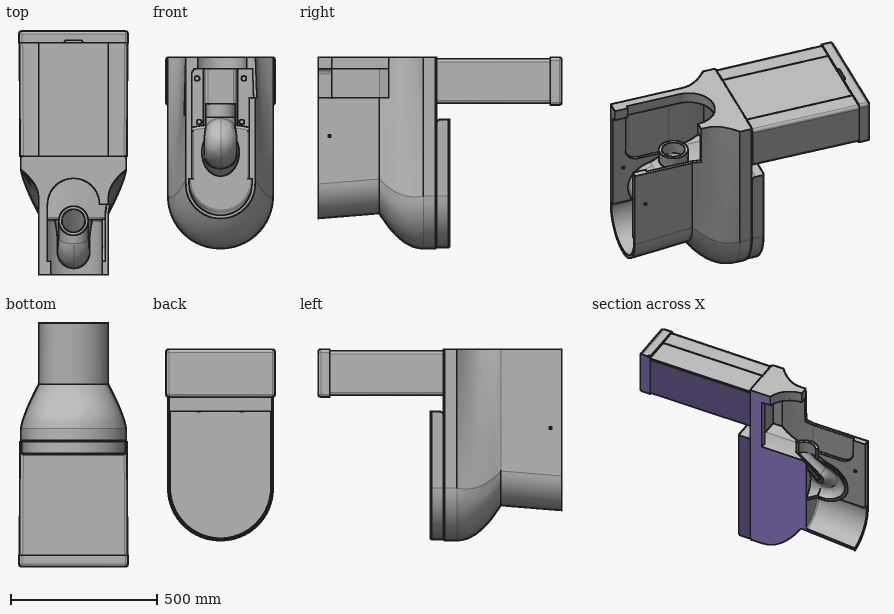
import cadquery as cq
import math


DEPTH_FRONT = 406.0
HOUSING_HEIGHT = 655.2
WALL = 11.0

REAR_HALF_WIDTH = 180.5
TROUGH_HALF_WIDTH = 119.0
SHOULDER_Y = -46.0
TOP_NECK_Y = -143.0
TROUGH_Y = -197.0
TROUGH_BACK_BOTTOM = -535.0
TROUGH_FRONT_BOTTOM = -552.0
SIDE_EXPONENT = 1.3
TOP_EXPONENT = 2.0
BOTTOM_EXPONENT = 2.0
NARROWING_STEPS = 6
BACK_EDGE_CHAMFER = 5.0

RIM_THICKNESS = 39.0
RIM_RADIUS = 89.0
RIM_CENTRE_Y = -165.0
LIP_BACK_Y = -359.0
LIP_TOP_EDGE_X = -77.0
LIP_HALF_GAP = 98.0
LIP_CORNER_RADIUS = 18.0
LIP_BOTTOM = -416.0
SIDE_CUT_BOTTOM = -139.0
INNER_WALL_Y = -218.0
INNER_CORNER_RADIUS = 4.5
LEDGE_BOTTOM = -244.0
LEDGE_CROWN = -230.0
LEDGE_EDGE_DROP = 10.0
LEDGE_EDGE_RADIUS = 9.0
PICK_MARGIN = 1.0
CHAMBER_CORNER_RADIUS = 48.0

PIN_HOLE_DIAMETER = 9.0
PIN_HOLE_Y = -367.0
PIN_HOLE_Z = -270.0
BOLT_HOLE_DIAMETER = 17.0
BOLT_HOLES = [(80.0, -73.0), (73.0, -222.0)]

DUCT_BASE_HALF_WIDTH = 59.0
DUCT_FACE_HALF_WIDTH = 52.0
DUCT_FACE_Y = -45.0
DUCT_EDGE_RADIUS = 11.0

PIPE_RADIUS = 50.0
PIPE_WALL = 10.5
PIPE_Y = -221.0
PIPE_TOP = -160.0
PIPE_BEND_TOP = -205.0
BEND_PIVOT_Y = -262.0
BEND_PIVOT_Z = -287.0
BEND_INNER_RADIUS = 4.0
BEND_SECTIONS = [
    (51.0, 41.0, -65),
    (54.0, 50.0, -30),
    (56.0, 59.0, 0),
    (56.0, 52.0, 45),
    (57.0, 43.0, 90),
]
FLARE_Z = -326.0
FLARE_HALF_WIDTH = 64.0
FLARE_HALF_HEIGHT = 81.0

BOX_LENGTH = 388.0
BOX_FRONT_HALF_WIDTH = 183.0
BOX_BACK_HALF_WIDTH = 185.5
BOX_TOP = -5.0
BOX_BOTTOM = -158.5
BOX_EDGE_RADIUS = 11.0
LID_HALF_WIDTH = 118.0
LID_THICKNESS = 5.0
LID_SINK = 1.5
LID_TOP = BOX_TOP - LID_SINK
CAP_BACK = 428.0
CAP_HALF_WIDTH = 186.5
CAP_HEIGHT = 164.0
CAP_EDGE_RADIUS = 10.0
FINGER_NOTCH_HALF_WIDTH = 31.0
FINGER_NOTCH_LENGTH = 8.0
FINGER_NOTCH_DEPTH = 4.0

COVER_THICKNESS = 45.0
COVER_TOP = -213.0
COVER_INSET = 3.5
COVER_TOP_RADIUS = 12.0
COVER_BACK_CHAMFER = 5.0


def block(x_min, x_max, y_min, y_max, z_min, z_max):
    size = (x_max - x_min, y_max - y_min, z_max - z_min)
    return cq.Workplane("XY").box(*size, centered=False).translate((x_min, y_min, z_min))


def loft(wires, ruled=False):
    return cq.Workplane(cq.Solid.makeLoft(wires, ruled))


def u_wire(y, top_half_width, low_half_width, bottom, inset=0.0):
    """U-shaped section at a given Y, flat at Z = 0 and round underneath."""
    top_x = top_half_width - inset
    low_x = low_half_width - inset
    arc_z = bottom + low_half_width
    start = cq.Vector(-top_x, y, 0)
    arc_start = cq.Vector(-low_x, y, arc_z)
    arc_end = cq.Vector(low_x, y, arc_z)
    end = cq.Vector(top_x, y, 0)
    return cq.Wire.assembleEdges([
        cq.Edge.makeLine(start, arc_start),
        cq.Edge.makeThreePointArc(arc_start, cq.Vector(0, y, bottom + inset), arc_end),
        cq.Edge.makeLine(arc_end, end),
        cq.Edge.makeLine(end, start),
    ])


def rear_wire(y, inset=0.0):
    return u_wire(y, REAR_HALF_WIDTH, REAR_HALF_WIDTH, -HOUSING_HEIGHT, inset)


def trough_wire(y, inset=0.0):
    run = (y - TROUGH_Y) / (-DEPTH_FRONT - TROUGH_Y)
    bottom = TROUGH_BACK_BOTTOM + run * (TROUGH_FRONT_BOTTOM - TROUGH_BACK_BOTTOM)
    return u_wire(y, TROUGH_HALF_WIDTH, TROUGH_HALF_WIDTH, bottom, inset)


def narrowing_wire(y, inset=0.0):
    """Section between shoulder and trough: concave along the top, bulging lower down."""
    spread = REAR_HALF_WIDTH - TROUGH_HALF_WIDTH
    top_run = min(1.0, (y - SHOULDER_Y) / (TOP_NECK_Y - SHOULDER_Y))
    low_run = (y - SHOULDER_Y) / (TROUGH_Y - SHOULDER_Y)
    top_half_width = TROUGH_HALF_WIDTH + spread * (1 - top_run) ** TOP_EXPONENT
    low_half_width = REAR_HALF_WIDTH - spread * low_run ** SIDE_EXPONENT
    rise = TROUGH_BACK_BOTTOM + HOUSING_HEIGHT
    bottom = -HOUSING_HEIGHT + rise * low_run ** BOTTOM_EXPONENT
    return u_wire(y, top_half_width, low_half_width, bottom, inset)


def housing_form(back_y, front_y, inset=0.0):
    """Outer form of the housing, or its inside when an inset is given."""
    step = (TROUGH_Y - SHOULDER_Y) / NARROWING_STEPS
    stations = [SHOULDER_Y + i * step for i in range(NARROWING_STEPS + 1)]
    rear = loft([rear_wire(back_y, inset), rear_wire(SHOULDER_Y, inset)], True)
    narrowing = loft([narrowing_wire(y, inset) for y in stations])
    trough = loft([trough_wire(TROUGH_Y, inset), trough_wire(front_y, inset)], True)
    return rear.union(narrowing).union(trough)


def chamber():
    """Upper chamber: inside of the form, between the rim and the crowned ledge."""
    side_profile = (
        cq.Workplane("YZ").workplane(offset=-REAR_HALF_WIDTH)
        .moveTo(-WALL, -RIM_THICKNESS)
        .lineTo(LIP_BACK_Y, -RIM_THICKNESS)
        .lineTo(LIP_BACK_Y, LEDGE_BOTTOM + CHAMBER_CORNER_RADIUS)
        .radiusArc((LIP_BACK_Y + CHAMBER_CORNER_RADIUS, LEDGE_BOTTOM), -CHAMBER_CORNER_RADIUS)
        .lineTo(-WALL, LEDGE_BOTTOM)
        .close()
        .extrude(2 * REAR_HALF_WIDTH)
    )
    crown_radius = (LIP_HALF_GAP ** 2 + LEDGE_EDGE_DROP ** 2) / (2 * LEDGE_EDGE_DROP)
    crown = (
        cq.Workplane("XZ")
        .center(0, LEDGE_CROWN - crown_radius)
        .circle(crown_radius)
        .extrude(-INNER_WALL_Y)
    )
    inside = housing_form(-WALL, LIP_BACK_Y, WALL)
    return inside.intersect(side_profile).cut(crown)


def trough_cavity():
    """Trough in front of the inner wall, with thick sides above a thin round bottom."""
    lower = loft([trough_wire(INNER_WALL_Y, WALL), trough_wire(-DEPTH_FRONT, WALL)], True)
    lower = lower.intersect(block(
        -TROUGH_HALF_WIDTH, TROUGH_HALF_WIDTH,
        -DEPTH_FRONT, INNER_WALL_Y, -HOUSING_HEIGHT, LIP_BOTTOM,
    ))
    lower = lower.faces(">Y").edges("%CIRCLE").fillet(INNER_CORNER_RADIUS)
    split_z = LEDGE_BOTTOM - LEDGE_EDGE_RADIUS
    beside_wall = block(-LIP_HALF_GAP, LIP_HALF_GAP, -DEPTH_FRONT, INNER_WALL_Y, LIP_BOTTOM, split_z)
    beside_wall = beside_wall.edges("|Z and >Y").fillet(INNER_CORNER_RADIUS)
    above_wall = block(-LIP_HALF_GAP, LIP_HALF_GAP, -DEPTH_FRONT, INNER_WALL_Y, split_z, -RIM_THICKNESS)
    above_wall = above_wall.edges("|Y and >Z").fillet(LIP_CORNER_RADIUS)
    return lower.union(beside_wall).union(above_wall)


def rim_opening():
    """Round-backed opening through the top, narrower at the front lip."""
    round_back = (
        cq.Workplane("XY").workplane(offset=-RIM_THICKNESS)
        .center(0, RIM_CENTRE_Y).circle(RIM_RADIUS).extrude(RIM_THICKNESS)
    )
    straight = block(-RIM_RADIUS, RIM_RADIUS, LIP_BACK_Y, RIM_CENTRE_Y, -RIM_THICKNESS, 0)
    lip_gap = block(LIP_TOP_EDGE_X, 0, -DEPTH_FRONT, LIP_BACK_Y, -RIM_THICKNESS - LIP_CORNER_RADIUS, 0)
    return round_back.union(straight).union(lip_gap)


def duct():
    """Vertical duct with drafted sides on the back wall, from ledge to rim."""
    return (
        cq.Workplane("XY").workplane(offset=LEDGE_BOTTOM)
        .moveTo(-DUCT_BASE_HALF_WIDTH, -WALL)
        .lineTo(-DUCT_FACE_HALF_WIDTH, DUCT_FACE_Y)
        .lineTo(DUCT_FACE_HALF_WIDTH, DUCT_FACE_Y)
        .lineTo(DUCT_BASE_HALF_WIDTH, -WALL)
        .close()
        .extrude(-RIM_THICKNESS - LEDGE_BOTTOM)
        .edges("|Z and <Y").fillet(DUCT_EDGE_RADIUS)
    )


def bolt_holes():
    points = [(side * x, z) for x, z in BOLT_HOLES for side in (-1, 1)]
    return cq.Workplane("XZ").pushPoints(points).circle(BOLT_HOLE_DIAMETER / 2).extrude(WALL)


def pin_hole():
    return (
        cq.Workplane("YZ").center(PIN_HOLE_Y, PIN_HOLE_Z)
        .circle(PIN_HOLE_DIAMETER / 2).extrude(TROUGH_HALF_WIDTH, both=True)
    )


def make_housing():
    body = housing_form(0, -DEPTH_FRONT)
    body = body.faces(">Y").edges("not >Z").chamfer(BACK_EDGE_CHAMFER)
    body = body.cut(chamber()).cut(trough_cavity()).cut(rim_opening())
    body = body.cut(block(0, REAR_HALF_WIDTH, -DEPTH_FRONT, RIM_CENTRE_Y, SIDE_CUT_BOTTOM, 0))
    ledge_front = cq.selectors.BoxSelector(
        (-LIP_HALF_GAP, INNER_WALL_Y - PICK_MARGIN, LEDGE_BOTTOM),
        (LIP_HALF_GAP, INNER_WALL_Y + PICK_MARGIN, LEDGE_CROWN + PICK_MARGIN),
    )
    body = body.edges(ledge_front).edges("%CIRCLE").fillet(LEDGE_EDGE_RADIUS)
    body = body.union(duct()).cut(bolt_holes()).cut(pin_hole())
    return body.cut(pipe_form())


def pipe_wire(y, z, half_width, half_depth, tilt, inset):
    """Elliptical pipe section; a tilt of 0 lies level and 90 faces the inner wall."""
    angle = math.radians(tilt)
    plane = cq.Plane(origin=(0, y, z), xDir=(1, 0, 0), normal=(0, math.sin(angle), -math.cos(angle)))
    section = cq.Workplane(plane).ellipse(half_width - inset, half_depth - inset)
    return section.wires().val()


def bend_wire(half_width, half_depth, tilt, inset):
    """Section of the bend, swung by its tilt about the bend's tight inner side."""
    angle = math.radians(tilt)
    reach = BEND_INNER_RADIUS + half_depth
    y = BEND_PIVOT_Y - reach * math.cos(angle)
    z = BEND_PIVOT_Z - reach * math.sin(angle)
    return pipe_wire(y, z, half_width, half_depth, tilt, inset)


def pipe_form(inset=0.0):
    """Upright inlet, throat, forward-bulging bend, and a flare that meets the inner wall."""
    upright = (
        cq.Workplane("XY").workplane(offset=PIPE_BEND_TOP)
        .center(0, PIPE_Y).circle(PIPE_RADIUS - inset).extrude(PIPE_TOP - PIPE_BEND_TOP)
    )
    sections = [bend_wire(*section, inset) for section in BEND_SECTIONS]
    throat_top = pipe_wire(PIPE_Y, PIPE_BEND_TOP, PIPE_RADIUS, PIPE_RADIUS, 0, inset)
    throat = loft([throat_top, sections[0]], True)
    bend = loft(sections)
    mouth = pipe_wire(INNER_WALL_Y, FLARE_Z, FLARE_HALF_WIDTH, FLARE_HALF_HEIGHT, 90, inset)
    flare = loft([sections[-1], mouth])
    return upright.union(throat).union(bend).union(flare)


def make_pipe():
    return pipe_form().cut(pipe_form(PIPE_WALL))


def make_box():
    body = (
        cq.Workplane("XY").workplane(offset=BOX_BOTTOM)
        .moveTo(-BOX_FRONT_HALF_WIDTH, 0)
        .lineTo(BOX_FRONT_HALF_WIDTH, 0)
        .lineTo(BOX_BACK_HALF_WIDTH, BOX_LENGTH)
        .lineTo(-BOX_BACK_HALF_WIDTH, BOX_LENGTH)
        .close()
        .extrude(BOX_TOP - BOX_BOTTOM)
    )
    body = body.faces("<X or >X").edges(">Z or <Z").fillet(BOX_EDGE_RADIUS)
    recess = block(-LID_HALF_WIDTH, LID_HALF_WIDTH, 0, BOX_LENGTH, LID_TOP - LID_THICKNESS, BOX_TOP)
    return body.cut(recess)


def make_lid():
    return block(-LID_HALF_WIDTH, LID_HALF_WIDTH, 0, BOX_LENGTH, LID_TOP - LID_THICKNESS, LID_TOP)


def make_cap():
    body = block(-CAP_HALF_WIDTH, CAP_HALF_WIDTH, BOX_LENGTH, CAP_BACK, -CAP_HEIGHT, 0)
    body = body.edges("|Y or >Y").fillet(CAP_EDGE_RADIUS)
    notch = block(
        -FINGER_NOTCH_HALF_WIDTH, FINGER_NOTCH_HALF_WIDTH,
        BOX_LENGTH, BOX_LENGTH + FINGER_NOTCH_LENGTH, -FINGER_NOTCH_DEPTH, 0,
    )
    notch = notch.edges("|Z and >Y").chamfer(FINGER_NOTCH_LENGTH / 2)
    return body.cut(notch)


def make_cover():
    outline = loft([rear_wire(0, COVER_INSET), rear_wire(COVER_THICKNESS, COVER_INSET)], True)
    body = outline.intersect(
        block(-REAR_HALF_WIDTH, REAR_HALF_WIDTH, 0, COVER_THICKNESS, -HOUSING_HEIGHT, COVER_TOP)
    )
    body = body.faces(">Y").edges("not >Z").chamfer(COVER_BACK_CHAMFER)
    return body.faces(">Z").edges("<Y").fillet(COVER_TOP_RADIUS)


housing = make_housing()
pipe = make_pipe()
box = make_box()
lid = make_lid()
cap = make_cap()
cover = make_cover()

result = cq.Compound.makeCompound(
    [housing.val(), pipe.val(), box.val(), lid.val(), cap.val(), cover.val()]
)